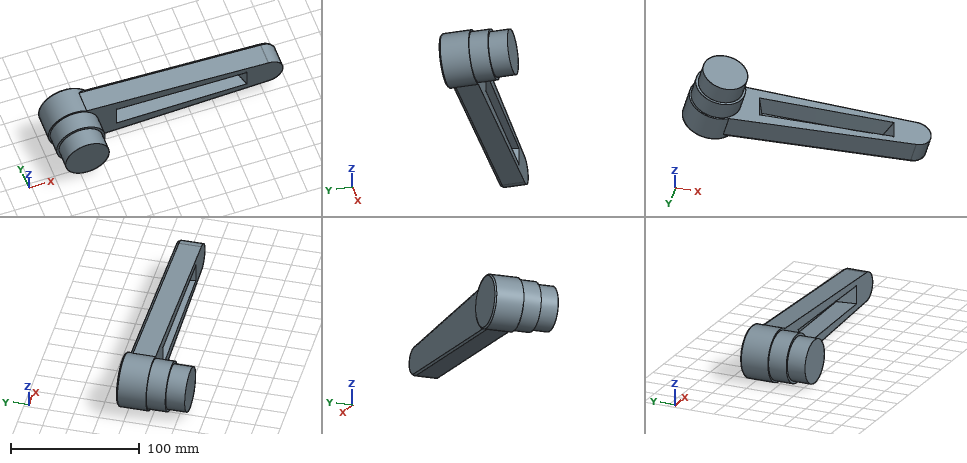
import cadquery as cq
import math

overall_length = 193.5
hub_radius = 21.5
collar_diameter = 40.0
spigot_diameter = 36.0
overall_depth = 54.0
spigot_length = 15.0
collar_length = 15.0
hub_length = overall_depth - spigot_length - collar_length
hub_rim_chamfer = 1.2

arm_thickness = 20.0
arm_root_half_height = 19.4
arm_tip_radius = 12.0
arm_chamfer_depth = 2.0
arm_chamfer_inset = 1.2
tip_x = overall_length - hub_radius - arm_tip_radius

pocket_start_x = 34.6
pocket_end_x = 142.2
pocket_start_half_height = 9.0
pocket_end_half_height = 7.5
pocket_depth = 14.9
pocket_end_draft = 5.6
pocket_side_draft = 1.4


def cylinder_along_y(radius, start_y, length):
    """Cylinder on the hub axis that grows toward +Y from start_y."""
    plane = cq.Workplane("XZ", origin=(0, start_y, 0))
    return plane.circle(radius).extrude(-length)


def make_hub():
    """Stepped hub; the arm's front face and the hub's front face lie at Y = 0."""
    hub = cylinder_along_y(hub_radius, 0, hub_length).faces(">Y").edges().chamfer(hub_rim_chamfer)
    collar = cylinder_along_y(collar_diameter / 2, -collar_length, collar_length)
    spigot = cylinder_along_y(spigot_diameter / 2, -collar_length - spigot_length, spigot_length)
    return hub.union(collar).union(spigot)


def make_arm():
    """Tapered arm with a round tip and a chamfered back edge."""
    outline = (
        cq.Workplane("XZ")
        .moveTo(0, -arm_root_half_height)
        .lineTo(tip_x, -arm_tip_radius)
        .threePointArc((tip_x + arm_tip_radius, 0), (tip_x, arm_tip_radius))
        .lineTo(0, arm_root_half_height)
        .close()
    )
    straight_depth = arm_thickness - arm_chamfer_depth
    body = outline.extrude(-straight_depth)
    taper = math.degrees(math.atan2(arm_chamfer_inset, arm_chamfer_depth))
    back_face = body.faces(">Y")
    return back_face.wires().toPending().workplane().extrude(arm_chamfer_depth, taper=taper)


def pocket_outline(end_inset, side_inset):
    """Corners of the tapered pocket outline, moved inward by the insets."""
    start_x = pocket_start_x + end_inset
    end_x = pocket_end_x - end_inset
    start_half = pocket_start_half_height - side_inset
    end_half = pocket_end_half_height - side_inset
    return [(start_x, -start_half), (end_x, -end_half), (end_x, end_half), (start_x, start_half)]


def make_pocket():
    """Drafted pocket, open at the arm's front face."""
    return (
        cq.Workplane("XZ")
        .polyline(pocket_outline(0, 0))
        .close()
        .workplane(offset=-pocket_depth)
        .polyline(pocket_outline(pocket_end_draft, pocket_side_draft))
        .close()
        .loft(ruled=True)
    )


result = make_arm().union(make_hub()).cut(make_pocket())